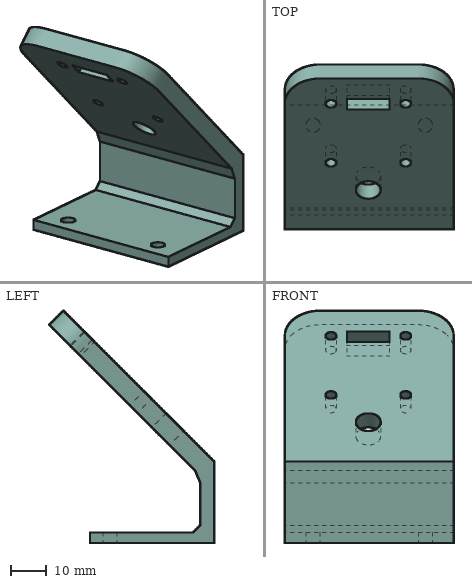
import cadquery as cq
import math

width = 47.6
total_height = 65.4
wall_height = 22.95
base_depth = 35.0
base_thickness = 3.0
wall_thickness = 4.0
inner_chamfer = 2.0

lean = math.radians(45)
panel_length = (total_height - wall_height) / math.sin(lean)
panel_thickness = 5.6
corner_radius = 10.0

pattern_x = -0.25
screw_diameter = 3.0
screw_spacing_x = 21.0
screw_spacing_slope = 35.9
screw_top_distance = 10.1
slot_width = 12.0
slot_height = 4.2
slot_distance = 10.35
cable_diameter = 7.0
cable_distance = 44.35

mount_diameter = 4.0
mount_side_distance = 8.0
mount_back_distance = 5.7


def bracket_body():
    """Side profile in the YZ plane, extruded across the width."""
    run = panel_length * math.cos(lean)
    back_y = run + panel_thickness * math.sin(lean)
    back_z = total_height - panel_thickness * math.cos(lean)
    inner_bend_z = back_z - (back_y - wall_thickness) * math.tan(lean)
    profile = [
        (0, 0),
        (base_depth, 0),
        (base_depth, base_thickness),
        (wall_thickness + inner_chamfer, base_thickness),
        (wall_thickness, base_thickness + inner_chamfer),
        (wall_thickness, inner_bend_z - inner_chamfer),
        (wall_thickness + inner_chamfer * math.cos(lean), inner_bend_z + inner_chamfer * math.sin(lean)),
        (back_y, back_z),
        (run, total_height),
        (0, wall_height),
    ]
    return cq.Workplane("YZ").polyline(profile).close().extrude(width / 2, both=True)


def round_panel_corners(body):
    """Round the two top corners, whose edges run through the panel thickness."""
    return body.faces(">(0, 1, 1)").edges("not |X").fillet(corner_radius)


def panel_openings():
    """Cutters square to the panel, placed down the slope from its top edge."""
    top_edge = (0, panel_length * math.cos(lean), total_height)
    into_panel = (0, math.sin(lean), -math.cos(lean))
    plane = cq.Workplane(cq.Plane(origin=top_edge, xDir=(1, 0, 0), normal=into_panel))
    screws = [
        (pattern_x + side * screw_spacing_x / 2, screw_top_distance + row * screw_spacing_slope)
        for side in (-1, 1)
        for row in (0, 0.65)
    ]
    screw_holes = plane.pushPoints(screws).circle(screw_diameter / 2).extrude(panel_thickness)
    slot = plane.center(pattern_x, slot_distance).rect(slot_width, slot_height).extrude(panel_thickness)
    cable_hole = plane.center(pattern_x, cable_distance).circle(cable_diameter / 2).extrude(panel_thickness)
    return screw_holes.union(slot).union(cable_hole)


def base_holes():
    """Vertical holes near the two back corners of the base."""
    x = width / 2 - mount_side_distance
    y = base_depth - mount_back_distance
    return cq.Workplane("XY").pushPoints([(-x, y), (x, y)]).circle(mount_diameter / 2).extrude(base_thickness)


result = round_panel_corners(bracket_body()).cut(panel_openings()).cut(base_holes())